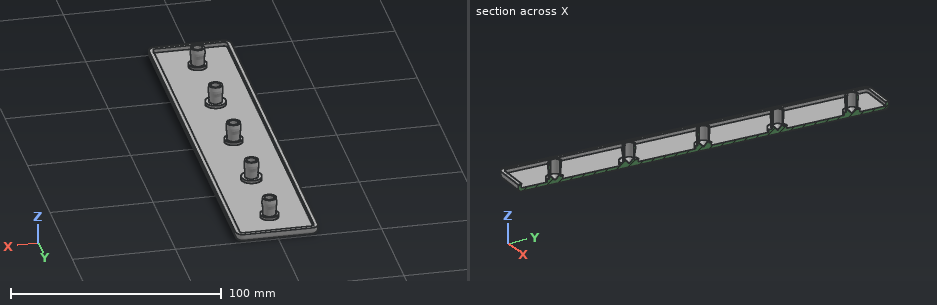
import cadquery as cq
import math

tray_length = 200.0
tray_width = 40.0
tray_height = 4.0
corner_radius = 3.5
bottom_round = 2.0
rim_width = 2.0
floor_thickness = 2.0
pocket_corner_radius = corner_radius - rim_width

stud_count = 5
stud_pitch = 40.0
stud_bottom = floor_thickness / 2
stud_top = 12.0
ring_diameter = 7.0
ring_radius = ring_diameter / 2
shank_radius = 3.2
end_radius = shank_radius
shank_top = 7.0
ring_bottom = 8.8
ring_top = 10.0

hole_diameter = 4.5
hole_radius = hole_diameter / 2
hole_depth = 7.5
drill_point_angle = 90.0
drill_tip_depth = hole_radius / math.tan(math.radians(drill_point_angle / 2))

collar_height = 1.5
collar_radii = (4.5, 5.0)


def make_tray():
    """Build the shallow open tray with its outer bottom edge rounded."""
    body = (
        cq.Workplane("XY")
        .box(tray_width, tray_length, tray_height, centered=(True, True, False))
        .edges("|Z")
        .fillet(corner_radius)
        .faces("<Z")
        .edges()
        .fillet(bottom_round)
    )
    pocket = (
        cq.Workplane("XY", origin=(0, 0, floor_thickness))
        .box(
            tray_width - 2 * rim_width,
            tray_length - 2 * rim_width,
            tray_height,
            centered=(True, True, False),
        )
        .edges("|Z")
        .fillet(pocket_corner_radius)
    )
    return body.cut(pocket)


def make_stud(collar_radius):
    """Revolve a collared, ringed stud with a drilled hole about the Z axis."""
    collar_top = floor_thickness + collar_height
    hole_bottom = stud_top - hole_depth
    return (
        cq.Workplane("XZ")
        .moveTo(0, stud_bottom)
        .lineTo(collar_radius, stud_bottom)
        .lineTo(collar_radius, collar_top)
        .lineTo(shank_radius, collar_top)
        .lineTo(shank_radius, shank_top)
        .lineTo(ring_radius, ring_bottom)
        .lineTo(ring_radius, ring_top)
        .lineTo(end_radius, stud_top)
        .lineTo(hole_radius, stud_top)
        .lineTo(hole_radius, hole_bottom)
        .lineTo(0, hole_bottom - drill_tip_depth)
        .close()
        .revolve(360, (0, 0, 0), (0, 1, 0))
    )


result = make_tray()
for index in range(stud_count):
    stud_y = (index - (stud_count - 1) / 2) * stud_pitch
    collar_radius = collar_radii[index % len(collar_radii)]
    result = result.union(make_stud(collar_radius).translate((0, stud_y, 0)))